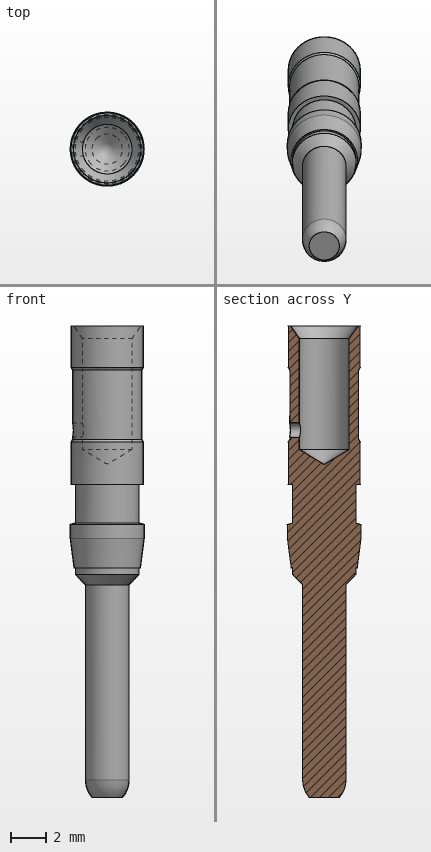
import cadquery as cq
import math

total_length = 26.75

collar_diameter = 4.1
neck_diameter = 3.93
waist_diameter = 3.6
flange_diameter = 4.2
taper_end_diameter = 3.77
pin_diameter = 2.5
tip_flat_diameter = 1.7

tip_length = 1.0
shank_length = 11.07
nose_length = 0.6
band_length = 0.37
taper_length = 1.65
flange_length = 0.8
flange_slope_length = 0.08
waist_length = 2.17
mid_collar_length = 2.43
collar_slope_length = 0.13
end_collar_length = 2.38

bore_diameter = 2.8
bore_depth = 7.0
drill_point_angle = 118.0
mouth_diameter = 3.83
mouth_depth = 0.72

inspection_hole_diameter = 0.8
inspection_hole_depth_from_top = 5.9

collar_radius = collar_diameter / 2
neck_radius = neck_diameter / 2
waist_radius = waist_diameter / 2
flange_radius = flange_diameter / 2
taper_end_radius = taper_end_diameter / 2
pin_radius = pin_diameter / 2
tip_flat_radius = tip_flat_diameter / 2
bore_radius = bore_diameter / 2
mouth_radius = mouth_diameter / 2

nose_bottom = tip_length + shank_length
band_bottom = nose_bottom + nose_length
taper_bottom = band_bottom + band_length
flange_bottom = taper_bottom + taper_length
flange_top = flange_bottom + flange_length
waist_bottom = flange_top + flange_slope_length
mid_collar_bottom = waist_bottom + waist_length
mid_collar_top = mid_collar_bottom + mid_collar_length
neck_bottom = mid_collar_top + collar_slope_length
end_collar_bottom = total_length - end_collar_length
neck_top = end_collar_bottom - collar_slope_length


def tip_arc_middle():
    """Middle of the tip arc, which runs smoothly into the side of the pin."""
    inset = pin_radius - tip_flat_radius
    arc_radius = (tip_length**2 + inset**2) / (2 * inset)
    half_sweep = math.asin(tip_length / arc_radius) / 2
    return (
        pin_radius - arc_radius * (1 - math.cos(half_sweep)),
        tip_length - arc_radius * math.sin(half_sweep),
    )


def turned_body():
    """Solid of revolution: pin, tapered flange, waist, collars and neck."""
    return (
        cq.Workplane("XZ")
        .moveTo(0, 0)
        .lineTo(tip_flat_radius, 0)
        .threePointArc(tip_arc_middle(), (pin_radius, tip_length))
        .lineTo(pin_radius, nose_bottom)
        .lineTo(waist_radius, band_bottom)
        .lineTo(waist_radius, taper_bottom)
        .lineTo(taper_end_radius, taper_bottom)
        .lineTo(flange_radius, flange_bottom)
        .lineTo(flange_radius, flange_top)
        .lineTo(waist_radius, waist_bottom)
        .lineTo(waist_radius, mid_collar_bottom)
        .lineTo(collar_radius, mid_collar_bottom)
        .lineTo(collar_radius, mid_collar_top)
        .lineTo(neck_radius, neck_bottom)
        .lineTo(neck_radius, neck_top)
        .lineTo(collar_radius, end_collar_bottom)
        .lineTo(collar_radius, total_length)
        .lineTo(0, total_length)
        .close()
        .revolve(360, (0, 0), (0, 1))
    )


def wire_socket():
    """Drilled bore with a conical bottom and a funnel mouth."""
    bore_bottom = total_length - bore_depth
    drill_point = bore_bottom - bore_radius / math.tan(math.radians(drill_point_angle / 2))
    return (
        cq.Workplane("XZ")
        .moveTo(0, drill_point)
        .lineTo(bore_radius, bore_bottom)
        .lineTo(bore_radius, total_length - mouth_depth)
        .lineTo(mouth_radius, total_length)
        .lineTo(0, total_length)
        .close()
        .revolve(360, (0, 0), (0, 1))
    )


def inspection_hole():
    """Radial hole through the -X wall into the bore."""
    hole_height = total_length - inspection_hole_depth_from_top
    return (
        cq.Workplane("YZ")
        .center(0, hole_height)
        .circle(inspection_hole_diameter / 2)
        .extrude(-flange_radius)
    )


result = turned_body().cut(wire_socket()).cut(inspection_hole())